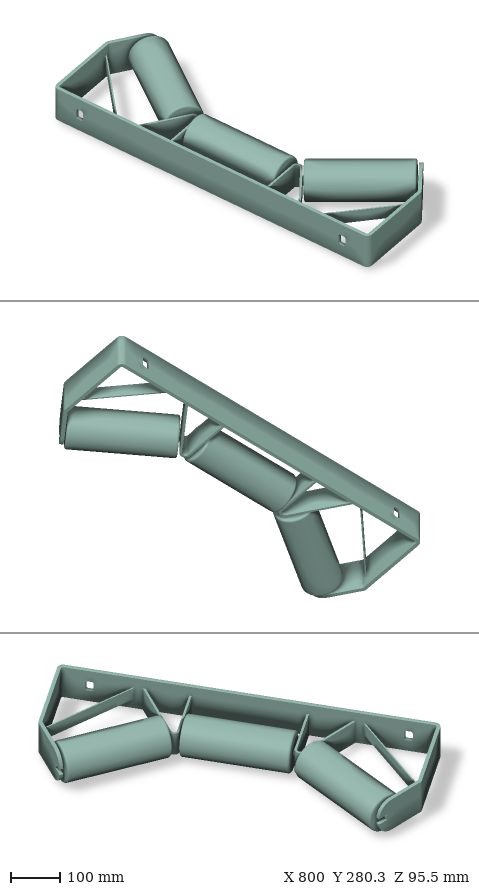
import cadquery as cq
import math


frame_width = 800.0
frame_height = 82.0
frame_thickness = 8.0
frame_bend_radius = 12.5
side_wall_length = 181.0
arm_angle = 55.0
arm_length = 116.2
arm_corner_radius = 35.0

mount_hole_width = 17.0
mount_hole_height = 25.0
mount_hole_corner_radius = 4.0
mount_hole_x = 333.0

roller_diameter = 89.0
roller_length = 230.0
roller_edge_radius = 4.5
shaft_diameter = 20.0
shaft_flat_width = 14.0
roller_drop = 7.0
center_roller_y = 101.0
side_roller_on_arm = 86.9
side_roller_gap = 3.5
center_roller_gap = 5.0

bracket_thickness = 5.0
bracket_bend_radius = 12.0
bracket_height = 58.0

brace_thickness = 3.0
brace_height = 30.0
brace_wall_y = 172.0
brace_base_x = 239.0

half_width = frame_width / 2
inner_wall_x = half_width - frame_thickness
frame_bottom = -frame_height / 2
arm_x = math.cos(math.radians(arm_angle))
arm_y = math.sin(math.radians(arm_angle))
bracket_face_x = roller_length / 2 + center_roller_gap

side_shell_start = frame_thickness + side_roller_gap
side_bracket_start = side_shell_start + roller_length + side_roller_gap
side_shaft_length = side_bracket_start + bracket_thickness
side_roller_tilt = math.degrees(math.asin(roller_drop / side_shaft_length))

bracket_corner_y = (
    side_wall_length + ((half_width - bracket_face_x) * arm_y - side_bracket_start) / arm_x
)


def mirrored(body):
    return body.mirror("YZ")



def offset_corners(path, distance):
    """Corners of an open XY path shifted to its left, with sharp mitred corners."""
    normals = []
    for (x0, y0), (x1, y1) in zip(path, path[1:]):
        length = math.hypot(x1 - x0, y1 - y0)
        normals.append(((y0 - y1) / length, (x1 - x0) / length))
    shifted = []
    for (x, y), before, after in zip(path, normals[:1] + normals, normals + normals[-1:]):
        reach = distance / (1 + before[0] * after[0] + before[1] * after[1])
        shifted.append((x + reach * (before[0] + after[0]), y + reach * (before[1] + after[1])))
    return shifted


def edges_centered_at(point):
    """Selector for the edges whose centers lie above or below an XY point."""
    reach = 0.1
    x, y = point
    return cq.selectors.BoxSelector(
        (x - reach, y - reach, -frame_height), (x + reach, y + reach, frame_height)
    )


def bent_bar(path, thickness, bend_radius, bottom, height):
    """Flat bar whose outer face follows the path and whose thickness lies to the left of it."""
    inner = offset_corners(path, thickness)
    bar = cq.Workplane("XY", origin=(0, 0, bottom)).polyline(path + inner[::-1]).close().extrude(height)
    for outer_corner, inner_corner in zip(path[1:-1], inner[1:-1]):
        bar = bar.edges(edges_centered_at(outer_corner)).fillet(bend_radius)
        bar = bar.edges(edges_centered_at(inner_corner)).fillet(bend_radius - thickness)
    return bar


def trim_to_frame(bar):
    """Keep only what lies between the side walls and above the base."""
    inside = cq.Workplane("XY").box(
        2 * inner_wall_x, frame_width, frame_height, centered=(True, False, True)
    )
    return bar.intersect(inside.translate((0, frame_thickness, 0)))



def make_shaft(start, end):
    """Round shaft along X with a flat above and below."""
    length = end - start
    rod = cq.Workplane("YZ").circle(shaft_diameter / 2).extrude(length)
    flats = cq.Workplane("XY").box(
        length, shaft_diameter, shaft_flat_width, centered=(False, True, True)
    )
    return rod.intersect(flats).translate((start, 0, 0))


def make_roller(shaft_start, shell_start, shaft_end):
    """Roller along X: a cylinder with rounded rims on its flatted shaft."""
    shell = (
        cq.Workplane("YZ", origin=(shell_start, 0, 0))
        .circle(roller_diameter / 2)
        .extrude(roller_length)
        .faces("<X or >X")
        .edges()
        .fillet(roller_edge_radius)
    )
    return shell.union(make_shaft(shaft_start, shaft_end))


def on_side_axis(body):
    """Move a body built along +X from the origin onto the left side roller axis."""
    start_x = -half_width + side_roller_on_arm * arm_x
    start_y = side_wall_length + side_roller_on_arm * arm_y
    return (
        body.rotate((0, 0, 0), (0, 1, 0), side_roller_tilt)
        .rotate((0, 0, 0), (0, 0, 1), arm_angle - 90)
        .translate((start_x, start_y, 0))
    )


def on_center_axis(body):
    """Move a body built along X about the origin onto the center roller axis."""
    return body.translate((0, center_roller_y, -roller_drop))


def make_center_roller():
    half_shaft = bracket_face_x + bracket_thickness
    return on_center_axis(make_roller(-half_shaft, -roller_length / 2, half_shaft))


def make_side_roller():
    return on_side_axis(make_roller(0, side_shell_start, side_shaft_length))



def make_mount_holes():
    return (
        cq.Workplane("XZ")
        .pushPoints([(-mount_hole_x, 0), (mount_hole_x, 0)])
        .rect(mount_hole_width, mount_hole_height)
        .extrude(-frame_thickness)
        .edges("|Y")
        .fillet(mount_hole_corner_radius)
    )


def make_arm_slot():
    """Cutter for the left arm: a shaft seat that stays open towards the arm tip."""
    reach = 2 * frame_thickness
    seat = make_shaft(-reach, reach)
    opening = cq.Workplane("XY").box(
        2 * reach, arm_length, shaft_flat_width, centered=(True, False, True)
    )
    return on_side_axis(seat.union(opening))


def make_frame():
    tip_x = half_width - arm_length * arm_x
    tip_y = side_wall_length + arm_length * arm_y
    path = [
        (-tip_x, tip_y),
        (-half_width, side_wall_length),
        (-half_width, 0),
        (half_width, 0),
        (half_width, side_wall_length),
        (tip_x, tip_y),
    ]
    frame = bent_bar(path, frame_thickness, frame_bend_radius, frame_bottom, frame_height)

    tip_middle_x = tip_x - frame_thickness * arm_y / 2
    tip_middle_y = tip_y - frame_thickness * arm_x / 2
    for tip_middle in ((-tip_middle_x, tip_middle_y), (tip_middle_x, tip_middle_y)):
        frame = frame.edges(edges_centered_at(tip_middle)).fillet(arm_corner_radius)

    slot = make_arm_slot()
    return frame.cut(make_mount_holes()).cut(slot).cut(mirrored(slot))



def make_bracket():
    """Left bracket: an upright leg and a slanted leg parallel to the arm, both on the base."""
    path = [
        (-bracket_face_x, 0),
        (-bracket_face_x, bracket_corner_y),
        (-bracket_face_x - bracket_corner_y * arm_x / arm_y, 0),
    ]
    strip = bent_bar(path, bracket_thickness, bracket_bend_radius, frame_bottom, bracket_height)
    bracket = trim_to_frame(strip)

    hole_margin = 2 * bracket_thickness
    side_hole = make_shaft(side_bracket_start - hole_margin, side_shaft_length + hole_margin)
    center_hole = make_shaft(-bracket_face_x - hole_margin, -bracket_face_x + hole_margin)
    return bracket.cut(on_side_axis(side_hole)).cut(on_center_axis(center_hole))


def make_brace():
    """Left brace: a straight strip from the side wall down to the base."""
    run = inner_wall_x - brace_base_x
    rise = brace_wall_y - frame_thickness
    extra = frame_thickness / rise
    path = [
        (-brace_base_x + extra * run, frame_thickness - extra * rise),
        (-inner_wall_x - extra * run, brace_wall_y + extra * rise),
    ]
    return trim_to_frame(bent_bar(path, brace_thickness, 0, -brace_height / 2, brace_height))



bodies = [make_frame(), make_center_roller()]
for left_body in (make_side_roller(), make_bracket(), make_brace()):
    bodies.append(left_body)
    bodies.append(mirrored(left_body))

result = cq.Compound.makeCompound([solid for body in bodies for solid in body.solids().vals()])